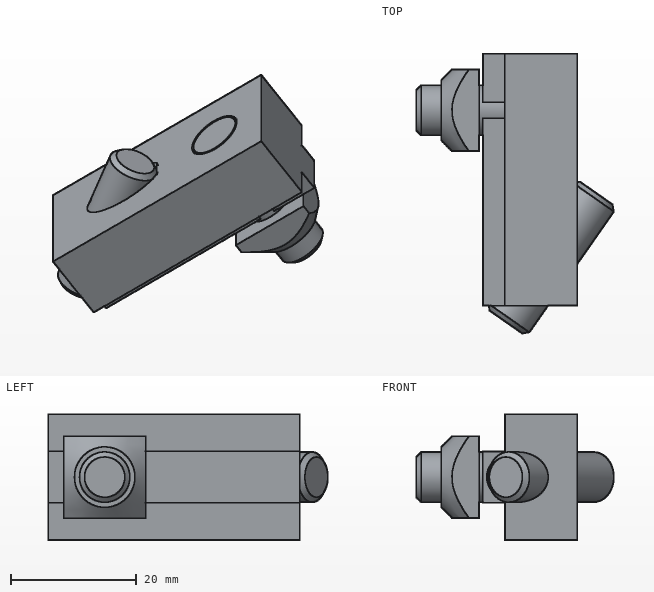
import cadquery as cq
import math


BLOCK_WIDTH = 11.5
BLOCK_LENGTH = 40.0
BLOCK_HEIGHT = 20.0
TONGUE_DEPTH = 3.5
TONGUE_HEIGHT = 8.2

PIN_DIAMETER = 8.0
PIN_CHAMFER = 0.8

CROSS_PIN_Y = 31.0
CROSS_HOLE_DIAMETER = 8.6
CROSS_PIN_PROJECTION = 10.6

NUT_SIDE = 13.0
NUT_THICKNESS = 6.0
NUT_GAP = 0.6
NUT_FLAT_DIAMETER = 9.6

ANGLED_PIN_TILT = 35.0
ANGLED_PIN_LENGTH = 25.0
ANGLED_PIN_X = 2.0
ANGLED_PIN_PROJECTION = 3.2

tongue_face_x = -TONGUE_DEPTH
nut_back_x = tongue_face_x - NUT_GAP
nut_front_x = nut_back_x - NUT_THICKNESS
cross_pin_tip_x = tongue_face_x - CROSS_PIN_PROJECTION

tilt = math.radians(ANGLED_PIN_TILT)
angled_pin_direction = cq.Vector(math.sin(tilt), math.cos(tilt), 0)
angled_pin_start = cq.Vector(ANGLED_PIN_X, 0, 0) - angled_pin_direction * ANGLED_PIN_PROJECTION


def cross_cylinder(diameter, start_x, end_x):
    """Cylinder along X on the axis of the cross pin."""
    return (
        cq.Workplane("YZ", origin=(start_x, CROSS_PIN_Y, 0))
        .circle(diameter / 2)
        .extrude(end_x - start_x)
    )


def angled_cylinder():
    """Plain cylinder that fills the whole length of the angled pin."""
    plane = cq.Plane(origin=angled_pin_start, xDir=(0, 0, 1), normal=angled_pin_direction)
    return cq.Workplane(plane).circle(PIN_DIAMETER / 2).extrude(ANGLED_PIN_LENGTH)


def make_block():
    body = cq.Workplane("XY").box(
        BLOCK_WIDTH, BLOCK_LENGTH, BLOCK_HEIGHT, centered=(False, False, True)
    )
    tongue = cq.Workplane("XY", origin=(tongue_face_x, 0, 0)).box(
        TONGUE_DEPTH, BLOCK_LENGTH, TONGUE_HEIGHT, centered=(False, False, True)
    )
    cross_hole = cross_cylinder(CROSS_HOLE_DIAMETER, tongue_face_x, BLOCK_WIDTH)
    return body.union(tongue).cut(cross_hole).cut(angled_cylinder())


def make_cross_pin():
    pin = cross_cylinder(PIN_DIAMETER, cross_pin_tip_x, BLOCK_WIDTH)
    return pin.faces("<X").chamfer(PIN_CHAMFER)


def make_angled_pin():
    return angled_cylinder().edges("%CIRCLE").chamfer(PIN_CHAMFER)


def make_nut():
    square = cq.Workplane("YZ", origin=(nut_front_x, CROSS_PIN_Y, 0)).rect(NUT_SIDE, NUT_SIDE)
    flat_radius = NUT_FLAT_DIAMETER / 2
    cone = (
        cq.Workplane("XY")
        .moveTo(nut_front_x, CROSS_PIN_Y)
        .lineTo(nut_front_x, CROSS_PIN_Y + flat_radius)
        .lineTo(nut_back_x, CROSS_PIN_Y + flat_radius + NUT_THICKNESS)
        .lineTo(nut_back_x, CROSS_PIN_Y)
        .close()
        .revolve(360, (nut_front_x, CROSS_PIN_Y, 0), (nut_back_x, CROSS_PIN_Y, 0))
    )
    bore = cross_cylinder(PIN_DIAMETER, nut_front_x, nut_back_x)
    return square.extrude(NUT_THICKNESS).intersect(cone).cut(bore)


block = make_block()
cross_pin = make_cross_pin()
angled_pin = make_angled_pin()
nut = make_nut()

result = cq.Compound.makeCompound([block.val(), cross_pin.val(), angled_pin.val(), nut.val()])